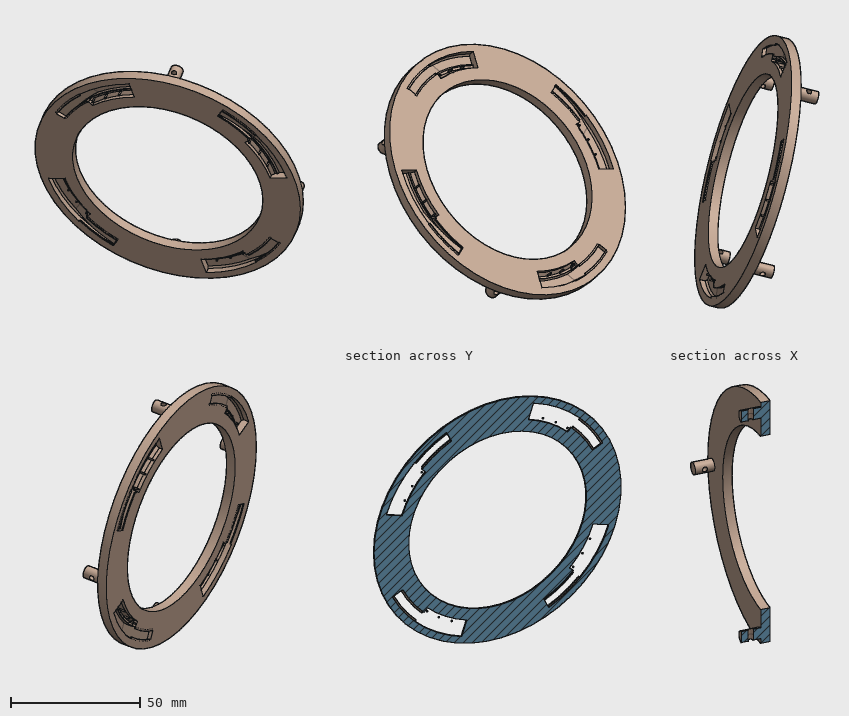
import cadquery as cq
import math


outer_radius = 53.8
bore_radius = 38.5
ring_thickness = 4.0

total_depth = 12.0
post_diameter = 5.0
post_circle_radius = 49.0
cross_hole_diameter = 2.0
cross_hole_depth = 8.1

repeat_count = 4
start_angle = 18.0

slot_middle_radius = 48.3
slot_depth = 3.0
channel_width = 3.4
lip_width = 0.7
lip_thickness = 0.4
slot_chamfer = lip_width
slot_inner_radius = slot_middle_radius - channel_width / 2 - lip_width
slot_outer_radius = slot_middle_radius + channel_width / 2 + lip_width
bay_end_angle = 45.0
channel_end_angle = 64.0

ramp_length = 20.0
channel_end_depth = 1.5

pocket_inner_radius = 43.6
pocket_depth = 2.7
pocket_end_angle = 44.1
pocket_chamfer = 1.2

pin_diameter = 0.6
pin_circle_radius = 44.8
pin_angles = (26.2, 34.5, 42.8)
pin_top_depth = 0.1


def turn(shape, angle):
    """Rotate a shape about the ring axis, from +X toward +Z."""
    return shape.rotate((0, 0, 0), (0, -1, 0), angle)


def sector(profile, first_angle, last_angle):
    """Sweep a (radius, depth) profile about the ring axis between two angles."""
    swept = cq.Workplane("XY").polyline(profile).close()
    swept = swept.revolve(last_angle - first_angle, (0, 0), (0, -1))
    return turn(swept, first_angle)


def rod(diameter, radius, angle, near_depth, far_depth):
    """Make a cylinder parallel to the ring axis."""
    cylinder = cq.Workplane("XZ", origin=(radius, near_depth, 0)).circle(diameter / 2)
    return turn(cylinder.extrude(near_depth - far_depth), angle)


def make_ring():
    return cq.Workplane("XZ").circle(outer_radius).circle(bore_radius).extrude(-ring_thickness)


def make_slot():
    """Full-width groove with chamfered floor edges, running from the bay to the end of the channel."""
    chamfer_top = slot_depth - slot_chamfer
    profile = [
        (slot_inner_radius, 0),
        (slot_outer_radius, 0),
        (slot_outer_radius, chamfer_top),
        (slot_outer_radius - slot_chamfer, slot_depth),
        (slot_inner_radius + slot_chamfer, slot_depth),
        (slot_inner_radius, chamfer_top),
    ]
    return sector(profile, start_angle, channel_end_angle)


def make_lip(inner_radius):
    """Thin strip left at the front face to overhang one side of the channel."""
    profile = [
        (inner_radius, 0),
        (inner_radius + lip_width, 0),
        (inner_radius + lip_width, lip_thickness),
        (inner_radius, lip_thickness),
    ]
    return sector(profile, bay_end_angle, channel_end_angle)


def make_ramp():
    """Wedge left standing in the slot, climbing from its floor to the channel's end."""
    side = [(slot_depth, -ramp_length), (channel_end_depth, 0), (slot_depth, 0)]
    wedge = cq.Workplane("YZ").polyline(side).close().extrude(outer_radius)
    return turn(wedge, channel_end_angle)


def make_pocket():
    """Spring pocket, chamfered along the bottom of its inner wall and of its far end wall."""
    profile = [
        (pocket_inner_radius, 0),
        (slot_inner_radius, 0),
        (slot_inner_radius, pocket_depth),
        (pocket_inner_radius, pocket_depth),
    ]
    sweep_angle = pocket_end_angle - start_angle
    pocket = sector(profile, -sweep_angle, 0)
    middle = math.radians(-sweep_angle / 2)
    inner_edge = (pocket_inner_radius * math.cos(middle), pocket_depth, pocket_inner_radius * math.sin(middle))
    end_edge = ((pocket_inner_radius + slot_inner_radius) / 2, pocket_depth, 0)
    nearest = cq.selectors.NearestToPointSelector
    pocket = pocket.edges(nearest(inner_edge) + nearest(end_edge)).chamfer(pocket_chamfer)
    return turn(pocket, pocket_end_angle)


def make_recess():
    recess = make_slot().cut(make_ramp())
    recess = recess.cut(make_lip(slot_inner_radius))
    recess = recess.cut(make_lip(slot_outer_radius - lip_width))
    recess = recess.union(make_pocket())
    for angle in pin_angles:
        recess = recess.cut(rod(pin_diameter, pin_circle_radius, angle, pin_top_depth, slot_depth))
    return recess


def make_post():
    post = rod(post_diameter, post_circle_radius, 0, ring_thickness, total_depth)
    hole = cq.Workplane("YZ", origin=(post_circle_radius, cross_hole_depth, 0)).circle(cross_hole_diameter / 2)
    return post.cut(hole.extrude(post_diameter, both=True))


result = make_ring()
recess = make_recess()
post = make_post()
for index in range(repeat_count):
    angle = index * 360 / repeat_count
    result = result.cut(turn(recess, angle)).union(turn(post, angle))